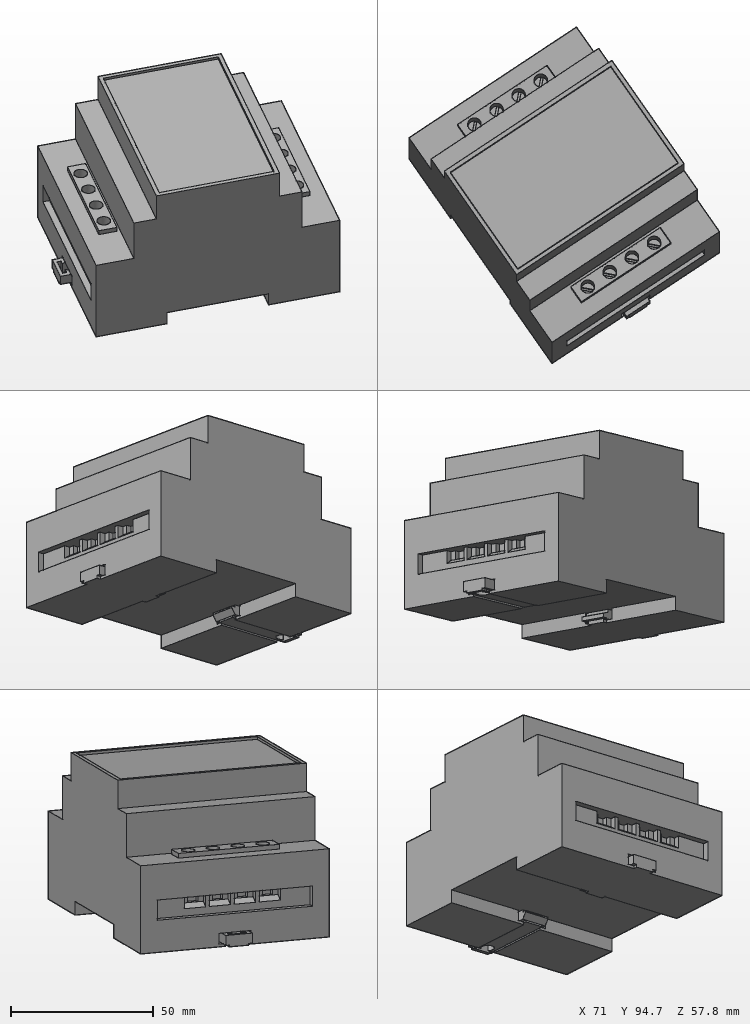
import cadquery as cq

WIDTH = 71.0
BASE_LENGTH = 89.2
BASE_HEIGHT = 31.8
SHOULDER_LENGTH = 61.6
SHOULDER_HEIGHT = 47.5
TOP_LENGTH = 45.1
HEIGHT = 57.8
FRONT_FACE_Y = -BASE_LENGTH / 2

LABEL_WIDTH = 68.0
LABEL_LENGTH = 42.0
LABEL_DEPTH = 0.9

RAIL_LENGTH = 37.1
RAIL_DEPTH = 4.9

TERMINAL_COUNT = 4
TERMINAL_PITCH = 9.4
STRIP_WIDTH = 38.0
STRIP_LENGTH = 6.6
STRIP_RISE = 1.7
STRIP_Y = -35.3
STRIP_TOP = BASE_HEIGHT + STRIP_RISE
SCREW_HOLE_DIAMETER = 4.7
SCREW_HOLE_DEPTH = 4.7
SCREW_SLOT_WIDTH = 0.85
SCREW_SLOT_DEPTH = 0.9
SCREW_SLOT_ANGLE = 45

WINDOW_WIDTH = 58.4
WINDOW_BOTTOM = 11.65
WINDOW_TOP = 18.9
WINDOW_DEPTH = 2.5
OPENING_WIDTH = 8.0
OPENING_BOTTOM = 14.3
OPENING_DEPTH = 2.3
SILL_TOP = 15.8
NOTCH_WIDTH = 3.8
NOTCH_DEPTH = 1.9

CHANNEL_WIDTH = 12.0
LIP_GAP = 7.2
LIP_HEIGHT = 1.0

CLIP_WIDTH = 9.9

CATCH_OVERHANG = 1.6
CATCH_OUTER_Y = BASE_LENGTH / 2 + CATCH_OVERHANG
CATCH_TOP = 4.5
CATCH_NECK_Y = 17.8
CATCH_FOOT_Y = 17.0
CATCH_TIP_Y = 15.3
CATCH_HOOK_TOP = 3.5
CATCH_TIP_TOP = 2.7
CATCH_HOOK_BOTTOM = 1.3

LATCH_OVERHANG = 3.9
LATCH_OUTER_Y = FRONT_FACE_Y - LATCH_OVERHANG
LATCH_NECK_Y = -17.3
LATCH_TIP_Y = -15.7
LATCH_HOOK_TOP = 4.2
LATCH_TIP_BOTTOM = 3.6
LATCH_SHOULDER = 1.3
LATCH_BOTTOM = 0.7
TOOL_SLOT_WIDTH = 6.5
TOOL_SLOT_OUTER_Y = -47.2
TOOL_SLOT_INNER_Y = -45.7
KEYHOLE_DIAMETER = 4.7
KEYHOLE_Y = -43.9


def block(x_size, y_from, y_to, z_from, z_to):
    """Box centred on X, given by its Y and Z limits."""
    box = cq.Workplane("XY").box(x_size, y_to - y_from, z_to - z_from, centered=(True, False, False))
    return box.translate((0, y_from, z_from))


def prism(points, x_size):
    """(Y, Z) outline extruded along X, centred on X."""
    return cq.Workplane("YZ").polyline(points).close().extrude(x_size / 2, both=True)


def centred_block(x_size, y_size, z_from, z_to):
    return block(x_size, -y_size / 2, y_size / 2, z_from, z_to)


def terminal_xs():
    first = -TERMINAL_PITCH * (TERMINAL_COUNT - 1) / 2
    return [first + i * TERMINAL_PITCH for i in range(TERMINAL_COUNT)]


def both_ends(shape):
    """The -Y shape together with its mirror image on the +Y end."""
    return shape.union(shape.mirror("XZ"))


def housing_block():
    body = centred_block(WIDTH, BASE_LENGTH, 0, BASE_HEIGHT)
    body = body.union(centred_block(WIDTH, SHOULDER_LENGTH, 0, SHOULDER_HEIGHT))
    body = body.union(centred_block(WIDTH, TOP_LENGTH, 0, HEIGHT))
    body = body.cut(centred_block(LABEL_WIDTH, LABEL_LENGTH, HEIGHT - LABEL_DEPTH, HEIGHT))
    return body.cut(centred_block(WIDTH, RAIL_LENGTH, 0, RAIL_DEPTH))


def terminal_strip():
    return block(
        STRIP_WIDTH, STRIP_Y - STRIP_LENGTH / 2, STRIP_Y + STRIP_LENGTH / 2, BASE_HEIGHT, STRIP_TOP
    )


def screw_hole():
    """Round hole whose floor is a slotted screw head."""
    radius = SCREW_HOLE_DIAMETER / 2
    floor = STRIP_TOP - SCREW_HOLE_DEPTH
    hole = cq.Workplane("XY").circle(radius).extrude(SCREW_HOLE_DEPTH).translate((0, 0, floor))
    slot = centred_block(SCREW_HOLE_DIAMETER, SCREW_SLOT_WIDTH, floor - SCREW_SLOT_DEPTH, floor)
    slot = slot.rotate((0, 0, 0), (0, 0, 1), SCREW_SLOT_ANGLE)
    slot_limit = cq.Workplane("XY").circle(radius).extrude(STRIP_TOP)
    return hole.union(slot.intersect(slot_limit)).translate((0, STRIP_Y, 0))


def wire_opening():
    """Opening behind the window: a sill that rises inward and a deeper notch in the back wall."""
    front = FRONT_FACE_Y + WINDOW_DEPTH
    back = front + OPENING_DEPTH
    outline = [(front, OPENING_BOTTOM), (back, SILL_TOP), (back, WINDOW_TOP), (front, WINDOW_TOP)]
    notch = block(NOTCH_WIDTH, back, back + NOTCH_DEPTH, SILL_TOP, WINDOW_TOP)
    return prism(outline, OPENING_WIDTH).union(notch)


def terminal_cuts():
    cuts = block(
        WINDOW_WIDTH, FRONT_FACE_Y, FRONT_FACE_Y + WINDOW_DEPTH, WINDOW_BOTTOM, WINDOW_TOP
    )
    for x in terminal_xs():
        cuts = cuts.union(screw_hole().translate((x, 0, 0)))
        cuts = cuts.union(wire_opening().translate((x, 0, 0)))
    return cuts


def clip_channel():
    upper = centred_block(CHANNEL_WIDTH, BASE_LENGTH, LIP_HEIGHT, RAIL_DEPTH)
    return upper.union(centred_block(LIP_GAP, BASE_LENGTH, 0, LIP_HEIGHT))


def fixed_catch():
    """Hooked bar that stays joined to the housing between the channel lips."""
    outline = [
        (CATCH_OUTER_Y, LIP_HEIGHT),
        (CATCH_OUTER_Y, CATCH_TOP),
        (CATCH_NECK_Y, CATCH_TOP),
        (CATCH_NECK_Y, CATCH_HOOK_TOP),
        (CATCH_TIP_Y, CATCH_TIP_TOP),
        (CATCH_TIP_Y, CATCH_HOOK_BOTTOM),
        (CATCH_FOOT_Y, CATCH_HOOK_BOTTOM),
        (CATCH_FOOT_Y, LIP_HEIGHT),
    ]
    foot = block(LIP_GAP, CATCH_FOOT_Y, CATCH_OUTER_Y, 0, LIP_HEIGHT)
    return prism(outline, CLIP_WIDTH).union(foot)


def make_housing():
    body = housing_block().union(both_ends(terminal_strip()))
    body = body.cut(both_ends(terminal_cuts()))
    return body.cut(clip_channel()).union(fixed_catch())


def make_latch():
    """Sliding hooked bar with a tool slot and keyhole in its outer end."""
    outline = [
        (LATCH_OUTER_Y, LATCH_SHOULDER),
        (LATCH_OUTER_Y, RAIL_DEPTH),
        (LATCH_NECK_Y, RAIL_DEPTH),
        (LATCH_NECK_Y, LATCH_HOOK_TOP),
        (LATCH_TIP_Y, LATCH_HOOK_TOP),
        (LATCH_TIP_Y, LATCH_TIP_BOTTOM),
        (LATCH_NECK_Y, LATCH_SHOULDER),
    ]
    tongue = block(LIP_GAP, LATCH_OUTER_Y, LATCH_NECK_Y, LATCH_BOTTOM, LATCH_SHOULDER)
    tool_slot = block(TOOL_SLOT_WIDTH, TOOL_SLOT_OUTER_Y, TOOL_SLOT_INNER_Y, 0, RAIL_DEPTH)
    keyhole = cq.Workplane("XY").center(0, KEYHOLE_Y).circle(KEYHOLE_DIAMETER / 2).extrude(RAIL_DEPTH)
    return prism(outline, CLIP_WIDTH).union(tongue).cut(tool_slot).cut(keyhole)


housing = make_housing().solids()
latch = make_latch().solids()

result = cq.Compound.makeCompound([housing.val(), latch.val()])